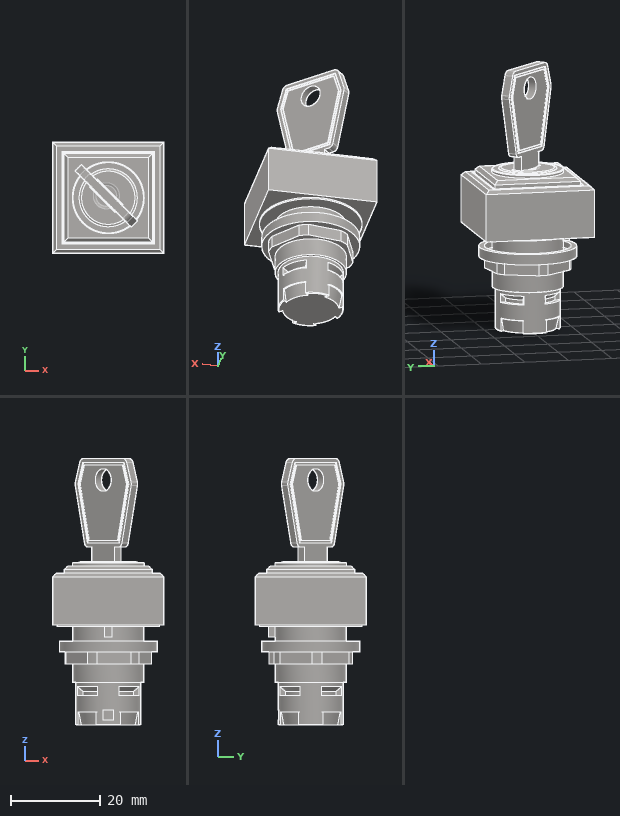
import cadquery as cq
import math

body_dia = 14.65
body_top = 9.55
body_chamfer = 0.2
neck_dia = 16.0
nut_bottom = 13.7
ring_bottom = 16.45
ring_top = 18.85
ring_dia = 22.0
ring_recess_dia = 19.5
ring_recess_depth = 1.5
gasket_bottom = 22.05
gasket_dia = 23.0

nut_flats = 17.9
nut_corner_dia = 19.5
nut_turn = 8.3

bezel_side = 24.95
bezel_bottom = 22.4
bezel_top = 34.1
bezel_chamfer = 0.85
groove_side = 20.8
groove_depth = 0.9

cap_side = 19.75
cap_ledge_width = 0.25
cap_ledge_drop = 0.2
cap_top = 35.7
cap_chamfer = 0.85

collar_dia = 16.15
collar_top = 36.5
collar_chamfer = 0.2
barrel_dia = 13.05
barrel_top = 36.7
barrel_chamfer_width = 0.55
barrel_edge_height = 0.05

key_shift = 0.6
key_thickness = 2.05
key_top = 59.8
key_wide_level = 54.1
head_bottom = 39.9
key_top_width = 14.35
key_wide_width = 17.95
head_bottom_width = 11.5
top_corner_radius = 1.4
bottom_corner_radius = 1.2
wide_corner_radius = 1.55
blade_width = 7.3
key_hole_dia = 5.0
key_hole_level = 54.95
groove_margin = 0.95
face_groove_width = 0.55
face_groove_depth = 0.25

keyway_width = 8.1
keyway_thickness = 2.5
keyway_depth = 0.3
dish_dia = 5.85
dish_floor_dia = 4.65
dish_depth = 0.2

tab_width = 1.7
tab_bottom = 19.75
tab_reach = 9.5

diagonals = [45, 135, 225, 315]
window_width = 6.3
window_bottom = 6.65
window_top = 8.6
window_floor_dia = 12.3
window_slope_drop = 1.1
notch_width = 5.8
notch_height = 3.0
notch_top_dia = 14.1
notch_bottom_dia = 12.7
pocket_width = 2.45
pocket_bottom = 1.2
pocket_top = 3.35
pocket_depth = 0.9


def disc(diameter, bottom, top):
    return cq.Workplane("XY").workplane(offset=bottom).circle(diameter / 2).extrude(top - bottom)


def square_block(side, bottom, top):
    return cq.Workplane("XY").workplane(offset=bottom).rect(side, side).extrude(top - bottom)


def revolve_profile(points):
    """Turn a closed (radius, Z) outline about the Z axis."""
    return cq.Workplane("XZ").polyline(points).close().revolve(360, (0, 0, 0), (0, 1, 0))


def radial_block(width, bottom, top, angle):
    """Block of the given width running outward from the axis at an angle."""
    length = bezel_side
    block = cq.Workplane("XY").box(length, width, top - bottom, centered=(False, True, False))
    return block.translate((0, 0, bottom)).rotate((0, 0, 0), (0, 0, 1), angle)


def make_nut():
    hexagon_dia = nut_flats / math.cos(math.radians(30))
    height = ring_bottom - nut_bottom
    nut = cq.Workplane("XY").workplane(offset=nut_bottom).polygon(6, hexagon_dia).extrude(height)
    nut = nut.rotate((0, 0, 0), (0, 0, 1), nut_turn)
    return nut.intersect(disc(nut_corner_dia, nut_bottom, ring_bottom))


def make_body():
    body = disc(body_dia, 0, body_top).faces("<Z").chamfer(body_chamfer)
    body = body.union(disc(neck_dia, body_top, ring_bottom))
    body = body.union(make_nut())
    ring = disc(ring_dia, ring_bottom, ring_top)
    ring = ring.cut(disc(ring_recess_dia, ring_top - ring_recess_depth, ring_top))
    body = body.union(ring).union(disc(neck_dia, ring_bottom, gasket_bottom))
    body = body.union(disc(gasket_dia, gasket_bottom, bezel_bottom))
    tab = radial_block(tab_width, tab_bottom, gasket_bottom, -90)
    return body.union(tab.intersect(disc(2 * tab_reach, tab_bottom, gasket_bottom)))


def window_wedge(angle):
    """Window plan whose side walls close in at 45 degrees, widest at the body surface."""
    half_width = window_width / 2
    mouth_distance = math.sqrt((body_dia / 2) ** 2 - half_width ** 2)
    tip_distance = mouth_distance - half_width
    outline = [
        (tip_distance, 0),
        (mouth_distance, half_width),
        (bezel_side, half_width),
        (bezel_side, -half_width),
        (mouth_distance, -half_width),
    ]
    wedge = cq.Workplane("XY").workplane(offset=window_bottom).polyline(outline).close()
    return wedge.extrude(window_top - window_bottom).rotate((0, 0, 0), (0, 0, 1), angle)


def window_ring():
    """Ring of space with a ceiling that slopes down toward its inner wall."""
    inner = window_floor_dia / 2
    outer = body_dia / 2
    return revolve_profile([
        (inner, window_bottom),
        (bezel_side, window_bottom),
        (bezel_side, window_top),
        (outer, window_top),
        (inner, window_top - window_slope_drop),
    ])


def notch_ring():
    """Space outside a cone that narrows toward the lower end."""
    return revolve_profile([
        (notch_bottom_dia / 2, 0),
        (bezel_side, 0),
        (bezel_side, notch_height),
        (notch_top_dia / 2, notch_height),
    ])


def cut_body_openings(body):
    for angle in diagonals:
        body = body.cut(window_wedge(angle).intersect(window_ring()))
        notch = radial_block(notch_width, 0, notch_height, angle)
        body = body.cut(notch.intersect(notch_ring()))
    pocket = radial_block(pocket_width, pocket_bottom, pocket_top, -90)
    core = disc(body_dia - 2 * pocket_depth, pocket_bottom, pocket_top)
    return body.cut(pocket.cut(core))


def make_bezel():
    bezel = square_block(bezel_side, bezel_bottom, bezel_top).faces(">Z").chamfer(bezel_chamfer)
    bezel = bezel.cut(square_block(groove_side, bezel_top - groove_depth, bezel_top))
    cap_ledge = bezel_top - cap_ledge_drop
    cap_base = square_block(cap_side + 2 * cap_ledge_width, bezel_top - groove_depth, cap_ledge)
    cap = square_block(cap_side, cap_ledge, cap_top).faces(">Z").chamfer(cap_chamfer).union(cap_base)
    collar = disc(collar_dia, cap_top, collar_top).faces(">Z").chamfer(collar_chamfer)
    barrel_rise = barrel_top - collar_top
    barrel = disc(barrel_dia, collar_top, barrel_top)
    barrel = barrel.faces(">Z").chamfer(barrel_rise - barrel_edge_height, barrel_chamfer_width)
    return bezel.union(cap).union(collar).union(barrel)


def to_key_position(shape):
    """Move a shape built along X, centred on the Z axis, onto the key diagonal."""
    return shape.translate((-key_shift, 0, 0)).rotate((0, 0, 0), (0, 0, 1), -45)


def cut_keyway(lock):
    dish = revolve_profile([
        (0, barrel_top - dish_depth),
        (dish_floor_dia / 2, barrel_top - dish_depth),
        (dish_dia / 2, barrel_top),
        (0, barrel_top),
    ])
    keyway = cq.Workplane("XY").box(keyway_width, keyway_thickness, 2 * keyway_depth)
    keyway = keyway.translate((0, 0, barrel_top))
    return lock.cut(to_key_position(dish.union(keyway)))


def head_outline(plane):
    half_top = key_top_width / 2
    half_wide = key_wide_width / 2
    half_bottom = head_bottom_width / 2
    return plane.polyline([
        (-half_bottom, head_bottom),
        (half_bottom, head_bottom),
        (half_wide, key_wide_level),
        (half_top, key_top),
        (-half_top, key_top),
        (-half_wide, key_wide_level),
    ]).close()


def make_face_groove():
    """Groove that frames the -Y face of the key head, before the key is turned."""
    plane = cq.Workplane("XZ", origin=(0, -key_thickness / 2, 0))
    outer = head_outline(plane).offset2D(-groove_margin).extrude(-face_groove_depth)
    inner = head_outline(plane).offset2D(-groove_margin - face_groove_width).extrude(-face_groove_depth)
    return outer.cut(inner)


def make_key():
    half_thickness = key_thickness / 2
    head = head_outline(cq.Workplane("XZ", origin=(0, half_thickness, 0))).extrude(key_thickness)
    side_corners = head.edges("|Y and (<X or >X)")
    head = side_corners.fillet(wide_corner_radius)
    head = head.faces(">Z").edges("|Y").fillet(top_corner_radius)
    head = head.faces("<Z").edges("|Y").fillet(bottom_corner_radius)

    groove = make_face_groove()
    head = head.cut(groove).cut(groove.rotate((0, 0, 0), (0, 0, 1), 180))
    hole_plane = cq.Workplane("XZ", origin=(0, half_thickness, key_hole_level))
    head = head.cut(hole_plane.circle(key_hole_dia / 2).extrude(key_thickness))

    blade_bottom = barrel_top - keyway_depth
    blade = cq.Workplane("XY").workplane(offset=blade_bottom).rect(blade_width, key_thickness)
    return to_key_position(head.union(blade.extrude(head_bottom - blade_bottom)))


lower_body = cut_body_openings(make_body())
lock = cut_keyway(lower_body.union(make_bezel()))
result = lock.union(make_key())